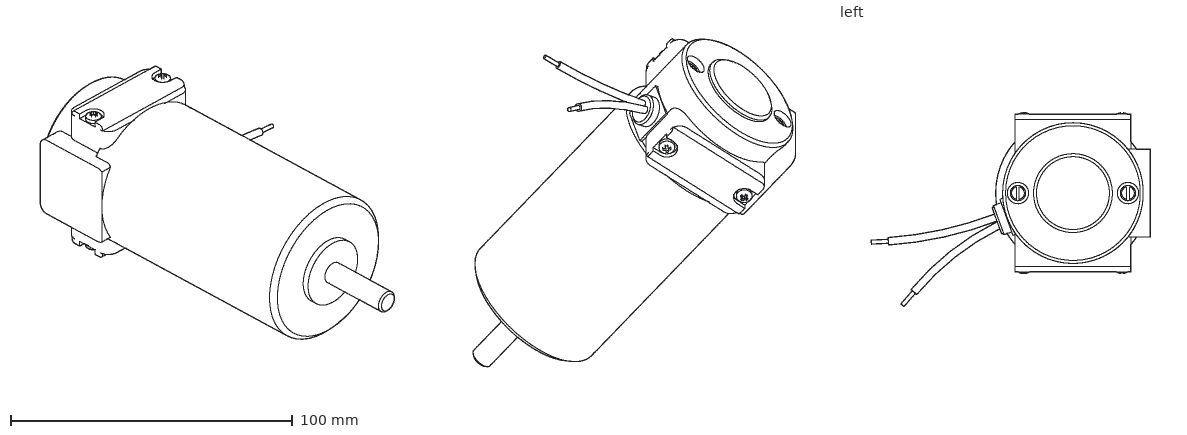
import cadquery as cq
import math


total_length = 151.5
cap_height = 2.0
block_start = 11.0
block_end = 32.1
terminal_band_start = 27.9
terminal_box_start = 4.7
terminal_box_end = 35.6
body_end = 121.5
pilot_end = 124.0

cap_diameter = 28.0
cap_chamfer = 1.0
bell_diameter = 50
bell_chamfer = 1.0
body_diameter = 55.0
body_chamfer = 2.0
pilot_diameter = 25.0
shaft_diameter = 8.0
shaft_chamfer = 0.8

block_half_width = 20.6
block_half_height = 26.0
block_fillet = 4.1
plate_start = 13.8
plate_end = 29.1
plate_thickness = 2.0
plate_fillet = 1.5
plate_middle = (plate_start + plate_end) / 2

plate_screw_offset = 17.4
plate_slot_width = 7.5
plate_head_diameter = 5.6
plate_head_height = 2.5
plate_head_rim = 1.4
cross_length = 2.9
cross_width = 0.9
cross_depth = 1.2

terminal_half_height = 15.6
terminal_fillet = 3.3
terminal_fillet_start = 33.5

bell_screw_offset = 19.5
counterbore_diameter = 7.5
counterbore_depth = 2.5
head_bore_diameter = 5.5
head_bore_depth = 1.2
bell_head_diameter = 4.5
bell_slot_width = 0.9

outlet_tilt = 20
outlet_x = 23.8
outlet_pad_start = 17.0
outlet_pad_width = 13.6
outlet_pad_top = 25.1
grommet_diameter = 11.0
grommet_top = 28.8
grommet_chamfer = 0.8

wire_x = 22.4
insulation_diameter = 2.7
conductor_diameter = 1.5
upper_wire_points = ((26.0, -8.2), (46.5, -14.4), (65.6, -17.1), (71.7, -17.4))
lower_wire_points = ((26.0, -11.2), (42.9, -21.8), (56.5, -35.1), (60.6, -39.8))


def disc(start, end, diameter):
    """Solid round bar on the motor axis between two X stations."""
    return cq.Workplane("YZ", origin=(start, 0, 0)).circle(diameter / 2).extrude(end - start)


def span_box(x_range, y_range, z_range):
    """Box given by its limits along each axis."""
    size = [high - low for low, high in (x_range, y_range, z_range)]
    corner = (x_range[0], y_range[0], z_range[0])
    return cq.Workplane("XY", origin=corner).box(*size, centered=False)


def turned_parts():
    """End cap, end bell, motor body, pilot boss and shaft."""
    cap = disc(0, cap_height, cap_diameter).faces("<X").edges().chamfer(cap_chamfer)
    bell = disc(cap_height, block_end, bell_diameter).faces("<X").edges().chamfer(bell_chamfer)
    body = disc(block_end, body_end, body_diameter).faces(">X").edges().chamfer(body_chamfer)
    pilot = disc(body_end, pilot_end, pilot_diameter)
    shaft = disc(pilot_end, total_length, shaft_diameter).faces(">X").edges().chamfer(shaft_chamfer)
    return cap.union(bell).union(body).union(pilot).union(shaft)


def brush_block():
    """Upright block across the end bell with rounded vertical corners."""
    block = span_box(
        (block_start, block_end),
        (-block_half_width, block_half_width),
        (-block_half_height, block_half_height),
    )
    return block.edges("|Z").fillet(block_fillet)


def plate_screw(y, cross_angle):
    """Pan head with a cross recess, standing on the top of the block."""
    base = cq.Workplane("XY", origin=(plate_middle, y, block_half_height))
    radius = plate_head_diameter / 2
    dome_rise = plate_head_height - plate_head_rim
    dome_radius = (radius**2 + dome_rise**2) / (2 * dome_rise)
    dome = cq.Workplane("XY").sphere(dome_radius)
    dome_centre = block_half_height + plate_head_height - dome_radius
    head = base.circle(radius).extrude(plate_head_height)
    head = head.intersect(dome.translate((plate_middle, y, dome_centre)))
    recess_floor = base.workplane(offset=plate_head_height - cross_depth)
    for angle in (cross_angle, cross_angle + 90):
        arm = recess_floor.transformed(rotate=(0, 0, angle)).rect(cross_length, cross_width)
        head = head.cut(arm.extrude(cross_depth))
    return head


def cover_plate():
    """Upper cover plate with an open-ended slot around each screw head."""
    plate_top = block_half_height + plate_thickness
    plate = span_box(
        (plate_start, plate_end),
        (-block_half_width, block_half_width),
        (block_half_height, plate_top),
    )
    plate = plate.faces(">Z").edges("|Y").fillet(plate_fillet)
    for side, cross_angle in ((1, 45), (-1, 0)):
        screw_y = side * plate_screw_offset
        slot_x = (plate_middle - plate_slot_width / 2, plate_middle + plate_slot_width / 2)
        slot_y = sorted((screw_y, side * block_half_width))
        slot = span_box(slot_x, slot_y, (block_half_height, plate_top))
        slot_end = cq.Workplane("XY", origin=(plate_middle, screw_y, block_half_height))
        slot = slot.union(slot_end.circle(plate_slot_width / 2).extrude(plate_thickness))
        plate = plate.cut(slot).union(plate_screw(screw_y, cross_angle))
    return plate


def terminal_box():
    """Flat box flush with the body, and the body-size band behind it."""
    body_radius = body_diameter / 2
    full_end = terminal_fillet_start + terminal_fillet
    z_range = (-terminal_half_height, terminal_half_height)
    box = span_box((terminal_box_start, full_end), (-body_radius, 0), z_range)
    box = box.edges("|Y").fillet(terminal_fillet)
    box = box.intersect(span_box((terminal_box_start, terminal_box_end), (-body_radius, 0), z_range))
    band = disc(terminal_band_start, block_end, body_diameter)
    band_inner_y = block_fillet - block_half_width
    band = band.intersect(span_box(
        (terminal_band_start, block_end),
        (-body_radius, band_inner_y),
        (-body_radius, body_radius),
    ))
    return box.union(band)


def sink_bell_screws(motor):
    """Counterbore the end bell twice and leave a slotted screw head flush with each floor."""
    counterbore_floor = cap_height + counterbore_depth
    bore_floor = counterbore_floor + head_bore_depth
    for y in (-bell_screw_offset, bell_screw_offset):
        counterbore = disc(cap_height, counterbore_floor, counterbore_diameter)
        bore = disc(counterbore_floor, bore_floor, head_bore_diameter)
        head = disc(counterbore_floor, bore_floor, bell_head_diameter)
        slot = span_box(
            (counterbore_floor, bore_floor),
            (-bell_slot_width / 2, bell_slot_width / 2),
            (-bell_head_diameter / 2, bell_head_diameter / 2),
        )
        sunk_screw = counterbore.union(bore).cut(head.cut(slot))
        motor = motor.cut(sunk_screw.translate((0, y, 0)))
    return motor


def cable_outlet():
    """Flat pad running to the body, with a round grommet on it."""
    half_width = outlet_pad_width / 2
    pad_base = bell_diameter / 4
    pad = span_box((outlet_pad_start, block_end), (pad_base, outlet_pad_top), (-half_width, half_width))
    outlet_plane = cq.Workplane("XZ", origin=(outlet_x, pad_base, 0))
    grommet = outlet_plane.circle(grommet_diameter / 2).extrude(pad_base - grommet_top)
    grommet = grommet.faces(">Y").edges().chamfer(grommet_chamfer)
    return pad.union(grommet).rotate((0, 0, 0), (1, 0, 0), -outlet_tilt)


def wire(start, middle, end, tip):
    """Insulated wire along an arc in the YZ plane, then a straight bare conductor."""
    side_plane = cq.Workplane("YZ", origin=(wire_x, 0, 0))
    arc = side_plane.moveTo(*start).threePointArc(middle, end)
    start_section = cq.Plane(origin=(wire_x, *start), xDir=(1, 0, 0), normal=arc.val().tangentAt(0))
    insulation = cq.Workplane(start_section).circle(insulation_diameter / 2).sweep(arc)
    bare_direction = (0, tip[0] - end[0], tip[1] - end[1])
    end_section = cq.Plane(origin=(wire_x, *end), xDir=(1, 0, 0), normal=bare_direction)
    bare_length = math.dist(end, tip)
    conductor = cq.Workplane(end_section).circle(conductor_diameter / 2).extrude(bare_length)
    return insulation.union(conductor)


upper_plate = cover_plate()
motor = turned_parts().union(brush_block())
motor = motor.union(upper_plate).union(upper_plate.mirror("XY"))
motor = sink_bell_screws(motor.union(terminal_box()))
motor = motor.union(cable_outlet())
motor = motor.union(wire(*upper_wire_points))
result = motor.union(wire(*lower_wire_points))